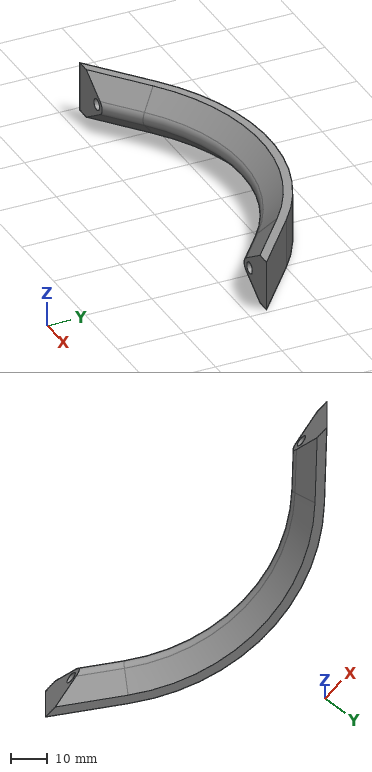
import cadquery as cq
import math

span = 117.4
rise = 29.0
width = 15.0

outer_radius = 64.6

side_depth = 2.6
nose_radius = 2.9

hole_diameter = 3.4
hole_inset = 10.7
hole_depth = 4.1
drill_point_angle = 118.0

half_span = span / 2
half_width = width / 2
center_y = rise - outer_radius

foot_distance = math.hypot(half_span, center_y)
leg_angle = math.atan2(half_span, -center_y) - math.acos(outer_radius / foot_distance)
tangent_x = outer_radius * math.sin(leg_angle)
tangent_y = center_y + outer_radius * math.cos(leg_angle)

leg_overrun = side_depth + half_width
end_x = half_span + leg_overrun * math.cos(leg_angle)
end_y = -leg_overrun * math.sin(leg_angle)


def bow_path():
    """Centre line of the back face, from the left leg to the right leg."""
    return (
        cq.Workplane("XY")
        .moveTo(-end_x, end_y)
        .lineTo(-tangent_x, tangent_y)
        .threePointArc((0, rise), (tangent_x, tangent_y))
        .lineTo(end_x, end_y)
    )


def bow():
    """Section swept along the bow; local x is depth into the bow, local y is Z."""
    apex_depth = side_depth + half_width
    nose_center = apex_depth - nose_radius * math.sqrt(2)
    nose_offset = nose_radius / math.sqrt(2)
    start_plane = cq.Plane(
        origin=(-end_x, end_y, 0),
        xDir=(math.sin(leg_angle), -math.cos(leg_angle), 0),
        normal=(math.cos(leg_angle), math.sin(leg_angle), 0),
    )
    section = (
        cq.Workplane(start_plane)
        .moveTo(0, -half_width)
        .lineTo(side_depth, -half_width)
        .lineTo(nose_center + nose_offset, -nose_offset)
        .threePointArc((nose_center + nose_radius, 0), (nose_center + nose_offset, nose_offset))
        .lineTo(side_depth, half_width)
        .lineTo(0, half_width)
        .close()
    )
    return section.sweep(bow_path())


def below_feet():
    """Block that trims both legs flush with the foot plane at Y = 0."""
    return cq.Workplane("XY").box(2 * span, span, span).translate((0, -half_span, 0))


def screw_hole(x):
    """Drilled hole with a conical bottom, entering from the foot plane."""
    hole_radius = hole_diameter / 2
    point_depth = hole_radius / math.tan(math.radians(drill_point_angle / 2))
    return (
        cq.Workplane("XY")
        .polyline([(0, 0), (hole_radius, 0), (hole_radius, hole_depth), (0, hole_depth + point_depth)])
        .close()
        .revolve(360, (0, 0, 0), (0, 1, 0))
        .translate((x, 0, 0))
    )


result = bow().cut(below_feet())
for side in (-1, 1):
    result = result.cut(screw_hole(side * (half_span - hole_inset)))